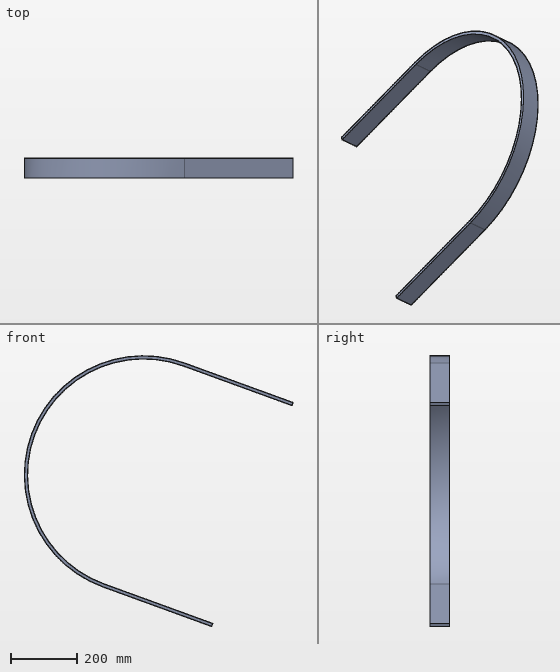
import cadquery as cq

outer_radius = 360.0
thickness = 10.0
width = 60.0
leg_length = 350.0
tilt_angle = 20.0

inner_radius = outer_radius - thickness


def u_strip():
    """Untilted U in the XZ plane, bend centred on the origin, legs toward +X."""
    return (
        cq.Workplane("XZ")
        .moveTo(leg_length, outer_radius)
        .lineTo(0, outer_radius)
        .threePointArc((-outer_radius, 0), (0, -outer_radius))
        .lineTo(leg_length, -outer_radius)
        .lineTo(leg_length, -inner_radius)
        .lineTo(0, -inner_radius)
        .threePointArc((-inner_radius, 0), (0, inner_radius))
        .lineTo(leg_length, inner_radius)
        .close()
        .extrude(width / 2, both=True)
    )


result = u_strip().rotate((0, 0, 0), (0, 1, 0), tilt_angle)